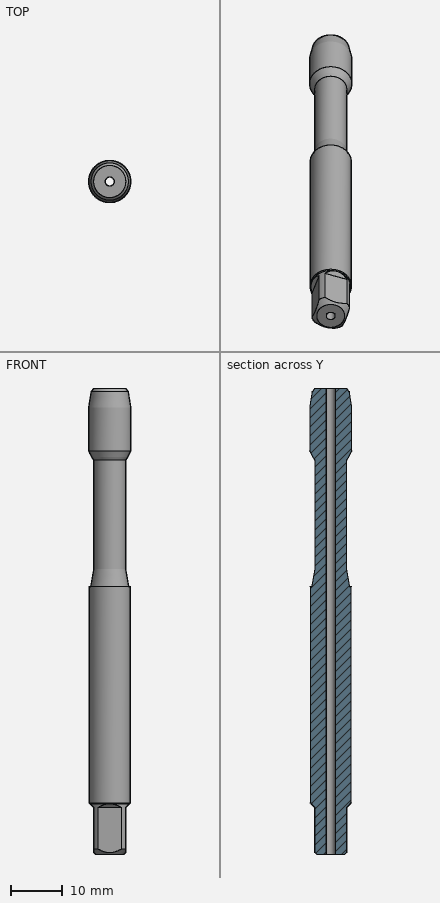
import cadquery as cq

total_length = 90.0
shoulder_z = 10.0
flat_top_z = 9.1
shank_top_z = 51.75
neck_bottom_z = 55.1
neck_top_z = 76.1
collar_z = 76.7
head_bottom_z = 77.9
head_top_z = 86.3
tip_bevel_z = 89.4

shank_diameter = 8.0
drive_diameter = 7.65
drive_end_diameter = 5.4
neck_diameter = 6.2
shank_cone_diameter = 7.4
collar_diameter = 6.9
head_diameter = 8.2
tip_diameter = 7.2
tip_face_diameter = 6.2
bore_diameter = 1.7

square_width = 6.2
end_bevel_height = 1.1
shoulder_bevel = (shank_diameter - drive_diameter) / 2
runout_height = 0.9


def turned_body():
    """Revolve the stepped half profile, listed as (diameter, height)."""
    steps = [
        (0, 0),
        (drive_end_diameter, 0),
        (drive_diameter, end_bevel_height),
        (drive_diameter, shoulder_z - shoulder_bevel),
        (shank_diameter, shoulder_z),
        (shank_diameter, shank_top_z),
        (shank_cone_diameter, shank_top_z),
        (neck_diameter, neck_bottom_z),
        (neck_diameter, neck_top_z),
        (collar_diameter, collar_z),
        (head_diameter, head_bottom_z),
        (head_diameter, head_top_z),
        (tip_diameter, tip_bevel_z),
        (tip_face_diameter, total_length),
        (0, total_length),
    ]
    profile = [(diameter / 2, z) for diameter, z in steps]
    return cq.Workplane("XZ").polyline(profile).close().revolve(360, (0, 0), (0, 1))


def flat_cutter():
    """Material removed beside one drive flat, with a sloped run-out on top."""
    flat = square_width / 2
    outer = shank_diameter / 2
    outline = [(flat, 0), (outer, 0), (outer, flat_top_z + runout_height), (flat, flat_top_z)]
    return cq.Workplane("XZ").polyline(outline).close().extrude(shank_diameter / 2, both=True)


result = turned_body()
for side in range(4):
    result = result.cut(flat_cutter().rotate((0, 0, 0), (0, 0, 1), 90 * side))

bore = cq.Workplane("XY").circle(bore_diameter / 2).extrude(total_length)
result = result.cut(bore)